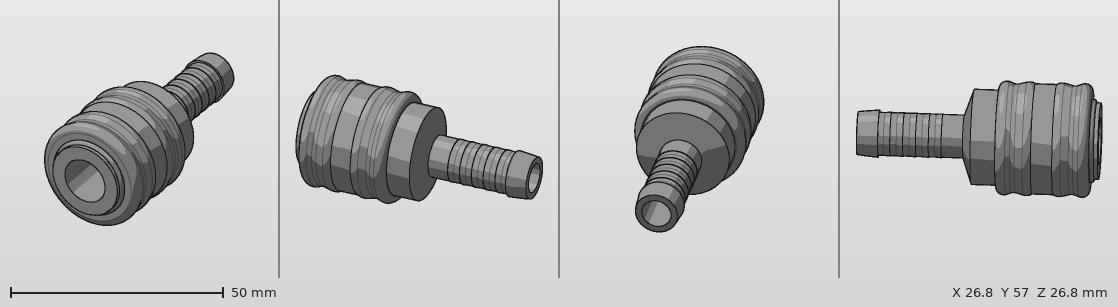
import cadquery as cq
import math

LENGTH = 57.0

SLEEVE_RADIUS = 13.4
SLEEVE_FRONT = 2.0
SLEEVE_BACK = 24.05
WAIST_RADIUS = 13.0
VALLEY_RADIUS = 12.75
END_ROUND = 1.8
INNER_ROUND = 2.45
VALLEY_ROUND = 1.8
END_TO_VALLEY = 2.4
VALLEY_TO_INNER = 2.95

LIP_RADIUS = 9.0
LIP_LENGTH = 0.95
COLLAR_ROUND = 0.8
COLLAR_OVERLAP = 0.55

BODY_RADIUS = 11.25
BODY_END = 29.85
TAIL_RADIUS = 5.1
TAIL_START = 32.05
RIB_COUNT = 5
RIB_RADIUS = 5.2
RIB_START = 37.05
RIB_PITCH = 3.0
RIB_LENGTH = RIB_PITCH / 2
BARB_RADIUS = 5.6
BARB_START = 52.0
BARB_BULGE = 0.05

MOUTH_RADIUS = 5.6
MOUTH_DEPTH = 22.8
SEAT_RADIUS = 4.55
SEAT_DEPTH = 23.95
BORE_RADIUS = 3.55


def circle_point(center, radius, angle):
    """Point as (radius, y); the angle is measured from the radial direction towards +Y."""
    return (center[0] + radius * math.cos(angle), center[1] + radius * math.sin(angle))


def flank_angle(crest_center, crest_round, valley_center):
    """Lean of the straight flank tangent to a crest arc and to the groove arc behind it."""
    across = valley_center[0] - crest_center[0]
    along = abs(valley_center[1] - crest_center[1])
    reach = math.acos((crest_round + VALLEY_ROUND) / math.hypot(across, along))
    return math.atan2(along, across) - reach


def add_arc(path, center, radius, start, end):
    """Continue the path to an arc and along it."""
    path = path.lineTo(*circle_point(center, radius, start))
    middle = circle_point(center, radius, (start + end) / 2)
    return path.threePointArc(middle, circle_point(center, radius, end))


def ridge_pair(end_face, direction):
    """Solid ring with two ridges and a groove, from a sleeve end (direction +1 or -1) to the waist."""
    end_crest = (SLEEVE_RADIUS - END_ROUND, END_ROUND)
    valley = (VALLEY_RADIUS + VALLEY_ROUND, END_ROUND + END_TO_VALLEY)
    inner_crest = (SLEEVE_RADIUS - INNER_ROUND, valley[1] + VALLEY_TO_INNER)
    end_lean = flank_angle(end_crest, END_ROUND, valley)
    inner_lean = flank_angle(inner_crest, INNER_ROUND, valley)
    waist_angle = math.acos((WAIST_RADIUS - inner_crest[0]) / INNER_ROUND)

    path = cq.Workplane("XY")
    path = add_arc(path, end_crest, END_ROUND, -math.pi / 2, end_lean)
    path = add_arc(path, valley, VALLEY_ROUND, math.pi + end_lean, math.pi - inner_lean)
    path = add_arc(path, inner_crest, INNER_ROUND, -inner_lean, waist_angle)
    waist_y = circle_point(inner_crest, INNER_ROUND, waist_angle)[1]
    ring = path.lineTo(0, waist_y).lineTo(0, 0).close().revolve(360, (0, 0, 0), (0, 1, 0))
    if direction < 0:
        ring = ring.mirror("XZ")
    return ring.translate((0, end_face, 0))


def disc(radius, start, end):
    """Cylinder about Y between two stations."""
    return cq.Workplane("XZ", origin=(0, start, 0)).circle(radius).extrude(start - end)


def sleeve():
    crest_inset = END_ROUND + END_TO_VALLEY + VALLEY_TO_INNER
    waist = disc(WAIST_RADIUS, SLEEVE_FRONT + crest_inset, SLEEVE_BACK - crest_inset)
    return waist.union(ridge_pair(SLEEVE_FRONT, 1)).union(ridge_pair(SLEEVE_BACK, -1))


def front_lip():
    collar = disc(LIP_RADIUS + COLLAR_ROUND, LIP_LENGTH, SLEEVE_FRONT + COLLAR_OVERLAP)
    collar = collar.faces("<Y").edges().fillet(COLLAR_ROUND)
    return disc(LIP_RADIUS, 0, SLEEVE_FRONT + COLLAR_OVERLAP).union(collar)


def hose_tail():
    path = cq.Workplane("XY").moveTo(0, SLEEVE_FRONT).lineTo(BODY_RADIUS, SLEEVE_FRONT)
    path = path.lineTo(BODY_RADIUS, BODY_END).lineTo(TAIL_RADIUS, TAIL_START)
    for index in range(RIB_COUNT):
        rib_y = RIB_START + index * RIB_PITCH
        path = path.lineTo(TAIL_RADIUS, rib_y).lineTo(RIB_RADIUS, rib_y)
        path = path.lineTo(TAIL_RADIUS, rib_y + RIB_LENGTH)
    path = path.lineTo(TAIL_RADIUS, BARB_START).lineTo(BARB_RADIUS, BARB_START)
    flank_middle = ((BARB_RADIUS + TAIL_RADIUS) / 2 + BARB_BULGE, (BARB_START + LENGTH) / 2)
    path = path.threePointArc(flank_middle, (TAIL_RADIUS, LENGTH)).lineTo(0, LENGTH)
    return path.close().revolve(360, (0, 0, 0), (0, 1, 0))


def bore():
    path = cq.Workplane("XY").lineTo(MOUTH_RADIUS, 0).lineTo(MOUTH_RADIUS, MOUTH_DEPTH)
    path = path.lineTo(SEAT_RADIUS, SEAT_DEPTH).lineTo(BORE_RADIUS, SEAT_DEPTH)
    path = path.lineTo(BORE_RADIUS, LENGTH).lineTo(0, LENGTH)
    return path.close().revolve(360, (0, 0, 0), (0, 1, 0))


result = sleeve().union(front_lip()).union(hose_tail()).cut(bore())